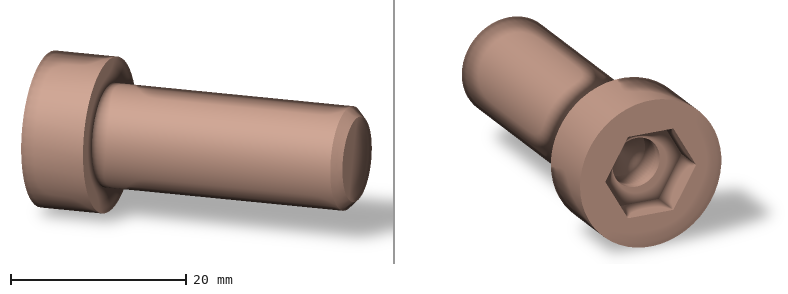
import cadquery as cq
import math

total_length = 37.5
head_diameter = 18.0
head_length = 7.5
shank_diameter = 12.0
tip_chamfer = 1.1

socket_across_flats = 10.0
socket_depth = 3.75
pilot_diameter = 6.0
pilot_depth = 7.5
pilot_point_angle = 120.0


def make_body():
    """Round head and shank, chamfered at the free end."""
    head = cq.Workplane("YZ").circle(head_diameter / 2).extrude(head_length)
    shank = (
        cq.Workplane("YZ")
        .circle(shank_diameter / 2)
        .extrude(total_length)
        .faces(">X")
        .chamfer(tip_chamfer)
    )
    return head.union(shank)


def make_socket():
    """Hexagonal recess with corners pointing along Y."""
    across_corners = socket_across_flats / math.cos(math.radians(30))
    return cq.Workplane("YZ").polygon(6, across_corners).extrude(socket_depth)


def make_pilot_hole():
    """Drilled hole with a conical bottom, revolved about the X axis."""
    radius = pilot_diameter / 2
    cone_depth = radius / math.tan(math.radians(pilot_point_angle / 2))
    return (
        cq.Workplane("XY")
        .lineTo(0, radius)
        .lineTo(pilot_depth, radius)
        .lineTo(pilot_depth + cone_depth, 0)
        .close()
        .revolve(360, (0, 0, 0), (1, 0, 0))
    )


result = make_body().cut(make_socket()).cut(make_pilot_hole())